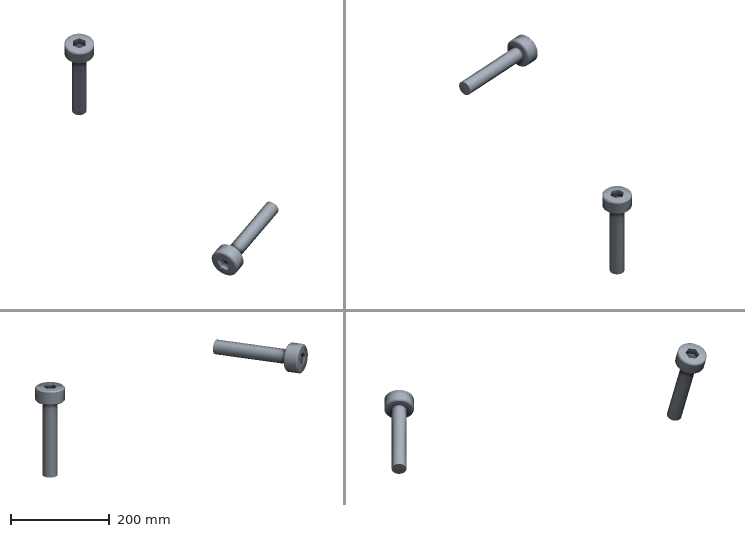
import cadquery as cq
import math

head_diameter = 60.0
head_height = 30.0
shank_diameter = 30.0
overall_length = 190.0
head_chamfer = 2.5
socket_across_flats = 25.0
socket_depth = 15.0

span_x = 600.0
span_y = 360.0
side_screw_z = 117.0

head_radius = head_diameter / 2
shank_radius = shank_diameter / 2
socket_across_corners = socket_across_flats / math.cos(math.pi / 6)


def socket_screw(top_plane):
    """Screw whose head face lies on top_plane, with its shank running along the negative normal."""
    head = cq.Workplane(top_plane).circle(head_radius).extrude(-head_height)
    head = head.edges().chamfer(head_chamfer)
    shank = (
        cq.Workplane(top_plane)
        .workplane(offset=-overall_length)
        .circle(shank_radius)
        .extrude(overall_length - head_height)
    )
    socket = cq.Workplane(top_plane).polygon(6, socket_across_corners).extrude(-socket_depth)
    return head.union(shank).cut(socket)


upright_plane = cq.Plane(
    origin=(head_radius, span_y - head_radius, overall_length),
    xDir=(1, 0, 0),
    normal=(0, 0, 1),
)
side_plane = cq.Plane(
    origin=(span_x - head_radius, 0, side_screw_z),
    xDir=(1, 0, 0),
    normal=(0, -1, 0),
)

screws = [socket_screw(plane).val() for plane in (upright_plane, side_plane)]
result = cq.Compound.makeCompound(screws)